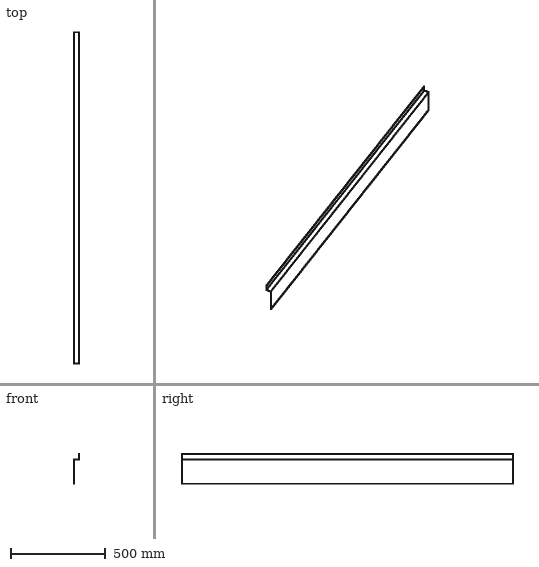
import cadquery as cq

length = 1750.0
width = 30.0
height = 160.0
sheet = 3.0

flange_height = 32.0

shelf_bottom = height - flange_height
shelf_top = shelf_bottom + sheet

profile = [
    (0, 0),
    (sheet, 0),
    (sheet, shelf_bottom),
    (width, shelf_bottom),
    (width, height),
    (width - sheet, height),
    (width - sheet, shelf_top),
    (0, shelf_top),
]

result = cq.Workplane("XZ").polyline(profile).close().extrude(length / 2, both=True)